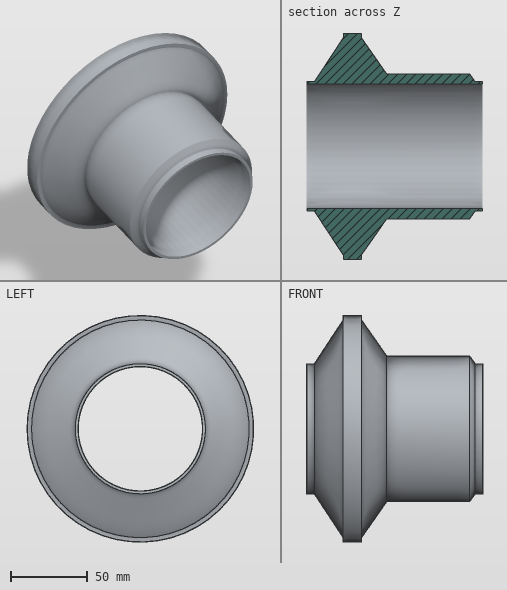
import cadquery as cq

total_length = 115.0
collar_radius = 74.0
tube_radius = 47.5
lip_radius = 42.5
bore_radius = 40.5

lip_length = 5.0
front_cone_length = 18.8
collar_width = 12.0
rear_cone_length = 16.5
end_bevel_length = 3.5

collar_step = 3.0
cone_radius = collar_radius - collar_step

collar_start = lip_length + front_cone_length
collar_end = collar_start + collar_width
tube_start = collar_end + rear_cone_length
bevel_end = total_length - lip_length
bevel_start = bevel_end - end_bevel_length

half_section = [
    (0, bore_radius),
    (0, lip_radius),
    (lip_length, lip_radius),
    (collar_start, cone_radius),
    (collar_start, collar_radius),
    (collar_end, collar_radius),
    (collar_end, cone_radius),
    (tube_start, tube_radius),
    (bevel_start, tube_radius),
    (bevel_end, lip_radius),
    (total_length, lip_radius),
    (total_length, bore_radius),
]

result = cq.Workplane("XY").polyline(half_section).close().revolve(360, (0, 0, 0), (1, 0, 0))